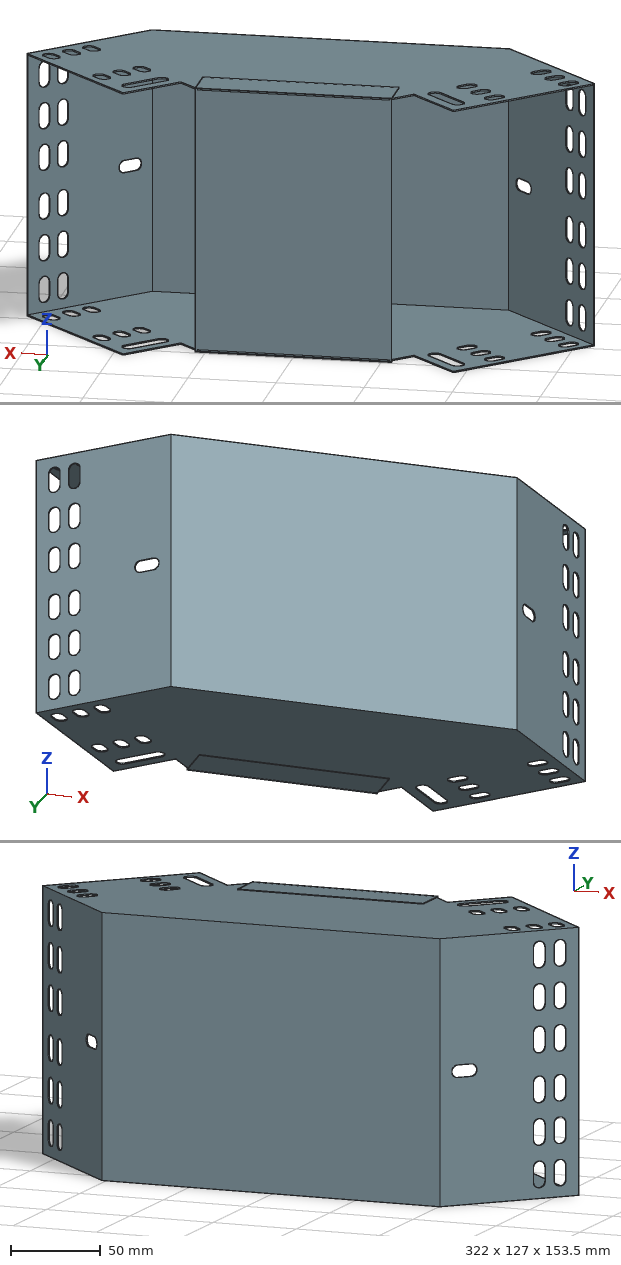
import cadquery as cq
import math

TOTAL_WIDTH = 322.0
TOTAL_DEPTH = 127.0
TOTAL_HEIGHT = 153.5

BEND_SHEET = 0.8
COVER_SHEET = 0.48

FRONT_WIDTH = 203.0
LEG_INNER_EDGE = 39.0
FOLD_ANGLE = 45.0

COVER_WIDTH = 111.5
COVER_BACK = 111.5
COVER_FLANGE = 22.5

SLOT_WIDTH = 7.0
PLATE_SLOT_LENGTH = 12.0
PLATE_SLOT_FROM_END = 8.5
PLATE_SLOT_PITCH = 13.5
PLATE_SLOT_COUNT = 3
PLATE_ROWS_FROM_CORNER = (12.0, 62.0)
LONG_SLOT_WIDTH = 7.7
LONG_SLOT_LENGTH = 30.0
LONG_SLOT_FROM_END = 22.0
LONG_SLOT_FROM_CORNER = 85.0
WALL_SLOT_LENGTH = 15.0
WALL_COLUMNS_FROM_END = (11.3, 24.0)
WALL_SLOT_HEIGHTS = (14.2, 38.3, 62.5)
SINGLE_SLOT_FROM_END = 69.3

BEND_HEIGHT = TOTAL_HEIGHT - 2 * COVER_SHEET
DIAGONAL = math.sqrt(0.5)
HALF_WIDTH = TOTAL_WIDTH / 2
CORNER_Y = HALF_WIDTH - FRONT_WIDTH / 2
LEG_TIP_X = HALF_WIDTH - (TOTAL_DEPTH - CORNER_Y)
NOTCH_X = LEG_TIP_X - LEG_INNER_EDGE * DIAGONAL
NOTCH_Y = TOTAL_DEPTH - LEG_INNER_EDGE * DIAGONAL
PLATE_BACK = COVER_BACK - COVER_SHEET
PLATE_BACK_X = NOTCH_X - (PLATE_BACK - NOTCH_Y)


def mirrored_outline(right_half):
    """Close a right-hand run of points with its mirror image across X = 0."""
    left_half = [(-x, y) for x, y in reversed(right_half)]
    return cq.Workplane("XY").polyline(right_half + left_half).close()


def bend_blank():
    """Channel of two angled plates joined by the folded outer wall."""
    plate_outline = [
        (FRONT_WIDTH / 2, 0),
        (HALF_WIDTH, CORNER_Y),
        (LEG_TIP_X, TOTAL_DEPTH),
        (NOTCH_X, NOTCH_Y),
        (PLATE_BACK_X, PLATE_BACK),
    ]
    block = mirrored_outline(plate_outline).extrude(BEND_HEIGHT / 2, both=True)

    inner_fold_x = FRONT_WIDTH / 2 - BEND_SHEET * math.tan(math.radians(FOLD_ANGLE / 2))
    space_outline = [
        (inner_fold_x, BEND_SHEET),
        (inner_fold_x + TOTAL_DEPTH, BEND_SHEET + TOTAL_DEPTH),
    ]
    space = mirrored_outline(space_outline).extrude(BEND_HEIGHT / 2 - BEND_SHEET, both=True)
    return block.cut(space)


def slot_cutter(plane, points, length, width, angle, depth):
    """Round-ended cutters standing on both sides of the plane."""
    slots = cq.Workplane(plane).pushPoints(points).slot2D(length, width, angle)
    return slots.extrude(depth, both=True)


def right_leg_cutters():
    """Cutters for every slot of the right leg."""
    plate_plane = cq.Plane(
        origin=(HALF_WIDTH, CORNER_Y, 0),
        xDir=(-DIAGONAL, DIAGONAL, 0),
        normal=(0, 0, 1),
    )
    plate_points = [
        (row, PLATE_SLOT_FROM_END + step * PLATE_SLOT_PITCH)
        for row in PLATE_ROWS_FROM_CORNER
        for step in range(PLATE_SLOT_COUNT)
    ]
    long_point = [(LONG_SLOT_FROM_CORNER, LONG_SLOT_FROM_END)]

    wall_plane = cq.Plane(
        origin=(HALF_WIDTH, CORNER_Y, 0),
        xDir=(-DIAGONAL, -DIAGONAL, 0),
        normal=(-DIAGONAL, DIAGONAL, 0),
    )
    wall_points = [
        (column, side * height)
        for column in WALL_COLUMNS_FROM_END
        for height in WALL_SLOT_HEIGHTS
        for side in (-1, 1)
    ]
    single_point = [(SINGLE_SLOT_FROM_END, 0)]
    wall_depth = 2 * BEND_SHEET

    return [
        slot_cutter(plate_plane, plate_points, PLATE_SLOT_LENGTH, SLOT_WIDTH, 0, BEND_HEIGHT),
        slot_cutter(plate_plane, long_point, LONG_SLOT_LENGTH, LONG_SLOT_WIDTH, 90, BEND_HEIGHT),
        slot_cutter(wall_plane, wall_points, WALL_SLOT_LENGTH, SLOT_WIDTH, 90, wall_depth),
        slot_cutter(wall_plane, single_point, WALL_SLOT_LENGTH, SLOT_WIDTH, 0, wall_depth),
    ]


def make_bend():
    """Slotted channel bend."""
    bend = bend_blank()
    for cutter in right_leg_cutters():
        bend = bend.cut(cutter).cut(cutter.mirror("YZ"))
    return bend


def make_cover():
    """U-shaped cover whose flanges lie on the outside of both bend plates."""
    centre_y = COVER_BACK - COVER_FLANGE / 2
    outer = cq.Workplane("XY").box(COVER_WIDTH, COVER_FLANGE, TOTAL_HEIGHT)
    inner = cq.Workplane("XY").box(COVER_WIDTH, COVER_FLANGE, BEND_HEIGHT)
    cover = outer.cut(inner.translate((0, -COVER_SHEET, 0)))
    return cover.translate((0, centre_y, 0))


bend = make_bend()
cover = make_cover()
result = cq.Compound.makeCompound([bend.val(), cover.val()])